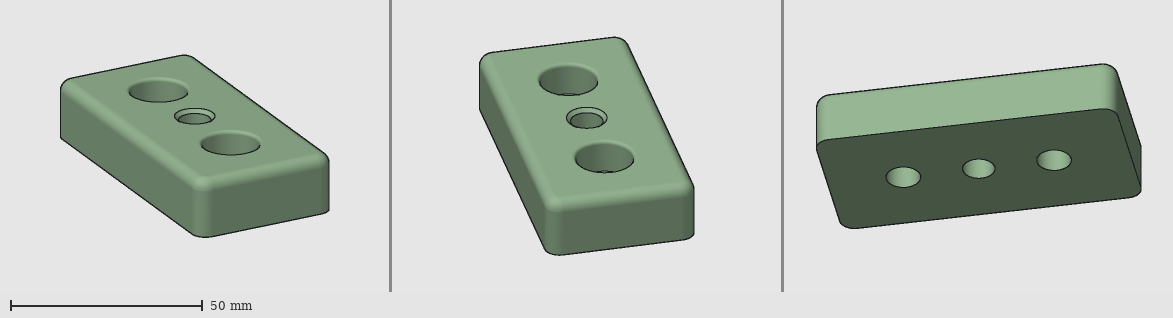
import cadquery as cq

length = 80.0
width = length / 2
height = 16.0
corner_radius = 4.0
top_edge_radius = 3.0

screw_spacing = length / 2
screw_hole_diameter = 9.0
counterbore_diameter = 15.0
counterbore_depth = 9.0
counterbore_rim_radius = 1.0

center_hole_diameter = 8.5
center_chamfer = 1.0
center_mouth_diameter = center_hole_diameter + 2 * center_chamfer
chamfer_cone_angle = 90


def rounded_block():
    """Block standing on Z = 0 with rounded corners and a rounded top edge."""
    block = cq.Workplane("XY").box(length, width, height, centered=(True, True, False))
    block = block.edges("|Z").fillet(corner_radius)
    return block.faces(">Z").edges().fillet(top_edge_radius)


def add_screw_holes(block):
    """Two counterbored through holes with rounded counterbore rims."""
    block = (
        block.faces(">Z")
        .workplane(origin=(0, 0, height))
        .rarray(screw_spacing, 0.8, 2, 1)
        .cboreHole(screw_hole_diameter, counterbore_diameter, counterbore_depth)
    )
    largest_circles = cq.selectors.RadiusNthSelector(-1)
    rims = block.faces(">Z").edges("%CIRCLE").edges(largest_circles)
    return rims.fillet(counterbore_rim_radius)


def add_center_hole(block):
    """Through hole in the middle with a 45 degree chamfer at the top."""
    return (
        block.faces(">Z")
        .workplane(origin=(0, 0, height))
        .cskHole(center_hole_diameter, center_mouth_diameter, chamfer_cone_angle)
    )


result = add_center_hole(add_screw_holes(rounded_block()))